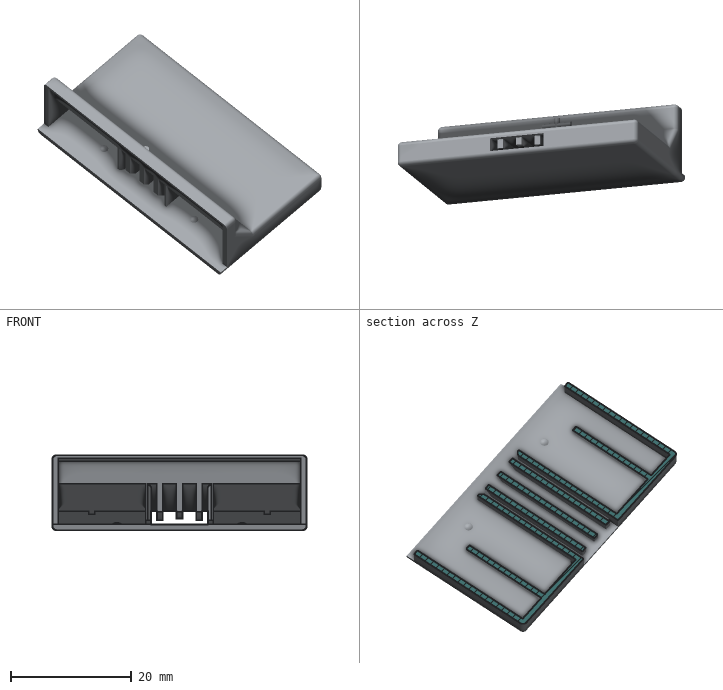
import cadquery as cq
import math

length = 42.3
depth = 24.5
height = 12.5
edge_radius = 0.7

wall = 1.0
lip_depth = 1.5
roof_top = 4.2
upright_back = 4.0
slope_foot = 7.95
slope_top = roof_top + slope_foot - upright_back

cavity_back = depth - wall
ceiling = roof_top - wall
upright_inside = upright_back - wall
slope_sum = slope_foot + roof_top - wall * math.sqrt(2)
upright_ceiling = height - wall
mouth_chamfer = 0.5

channel_half_width = 4.7
channel_wall = 0.95
channel_wall_chamfer = 0.55
channel_wall_underside = 1.7
channel_wall_foot = 1.0

rib_width = 1.0
rib_pitch = 3.25
rib_nose = 3.1
outer_rib_underside = 1.65
middle_rib_underside = 1.95
side_rib_x = 14.6
side_rib_underside = 2.7

bump_x = 10.4
bump_y = 4.75
bump_radius = 0.7
bump_height = 0.25

mark_radius = 0.55
mark_length = 5.0
mark_z = 10.5
mark_top = 11.8
mark_bottom = slope_top - mark_radius


def extrude_along_x(points, x_start, width):
    """Prism whose Y-Z outline is given, running from x_start towards +X."""
    return cq.Workplane("YZ").workplane(offset=x_start).polyline(points).close().extrude(width)


def box_between(x_range, y_range, z_range):
    size = [high - low for low, high in (x_range, y_range, z_range)]
    return cq.Workplane("XY").box(*size, centered=False).translate((x_range[0], y_range[0], z_range[0]))


def outer_body():
    housing = extrude_along_x(
        [
            (0, 0),
            (depth, 0),
            (depth, roof_top),
            (slope_foot, roof_top),
            (upright_back, slope_top),
            (upright_back, height),
            (0, height),
        ],
        -length / 2,
        length,
    )
    upright_crest = housing.faces(">Z").edges(">Y")
    rounded_edges = housing.faces("<X or >X or >Y").edges().edges("not <Y").add(upright_crest)
    return housing.newObject(rounded_edges.vals()).fillet(edge_radius)


def above_lip():
    return box_between((-length / 2, length / 2), (0, lip_depth), (wall, height))


def cavity():
    mouth_top = upright_ceiling + mouth_chamfer
    return extrude_along_x(
        [
            (lip_depth, wall),
            (cavity_back, wall),
            (cavity_back, ceiling),
            (slope_sum - ceiling, ceiling),
            (upright_inside, slope_sum - upright_inside),
            (upright_inside, upright_ceiling),
            (lip_depth + mouth_chamfer, upright_ceiling),
            (lip_depth, mouth_top),
        ],
        wall - length / 2,
        length - 2 * wall,
    )


def rear_opening():
    return box_between(
        (-channel_half_width, channel_half_width), (cavity_back, depth), (wall, ceiling)
    )


def roof_rib(x_center, underside):
    """Rib hanging from the roof, its underside rising to the front at 45 degrees."""
    return extrude_along_x(
        [
            (upright_inside, rib_nose),
            (upright_inside + rib_nose - underside, underside),
            (cavity_back, underside),
            (cavity_back, ceiling),
            (slope_sum - ceiling, ceiling),
            (upright_inside, slope_sum - upright_inside),
        ],
        x_center - rib_width / 2,
        rib_width,
    )


def side_rib(x_center):
    """Low rib that continues the inner slope below the flat ceiling."""
    return extrude_along_x(
        [
            (slope_sum - ceiling, ceiling),
            (slope_sum - side_rib_underside, side_rib_underside),
            (cavity_back, side_rib_underside),
            (cavity_back, ceiling),
        ],
        x_center - rib_width / 2,
        rib_width,
    )


def channel_side():
    """Wall on the +X side of the channel, chamfered at its inner front edge and standing on a rear foot."""
    plan = [
        (channel_half_width, upright_inside + channel_wall_chamfer),
        (channel_half_width + channel_wall_chamfer, upright_inside),
        (channel_half_width + channel_wall, upright_inside),
        (channel_half_width + channel_wall, cavity_back),
        (channel_half_width, cavity_back),
    ]
    full_height = cq.Workplane("XY").workplane(offset=wall).polyline(plan).close().extrude(height)
    profile = extrude_along_x(
        [
            (upright_inside, channel_wall_underside),
            (cavity_back - channel_wall_foot, channel_wall_underside),
            (cavity_back - channel_wall_foot, wall),
            (cavity_back, wall),
            (cavity_back, ceiling),
            (slope_sum - ceiling, ceiling),
            (upright_inside, slope_sum - upright_inside),
        ],
        channel_half_width,
        channel_wall,
    )
    return full_height.intersect(profile)


def snap_bump(x_center):
    """Shallow spherical cap on the floor."""
    sphere_radius = (bump_radius**2 + bump_height**2) / (2 * bump_height)
    sphere_center = wall + bump_height - sphere_radius
    sphere = cq.Workplane("XY").sphere(sphere_radius).translate((x_center, bump_y, sphere_center))
    above_floor = box_between(
        (x_center - bump_radius, x_center + bump_radius),
        (bump_y - bump_radius, bump_y + bump_radius),
        (wall / 2, wall + bump_height),
    )
    return sphere.intersect(above_floor)


def plus_mark():
    """Two crossed half-round bars standing out of the back of the upright."""
    upright_bar = (
        cq.Workplane("XY")
        .workplane(offset=mark_bottom)
        .center(0, upright_back)
        .circle(mark_radius)
        .extrude(mark_top - mark_bottom)
    )
    cross_bar = (
        cq.Workplane("YZ")
        .workplane(offset=-mark_length / 2)
        .center(upright_back, mark_z)
        .circle(mark_radius)
        .extrude(mark_length)
    )
    return upright_bar.union(cross_bar)


result = outer_body().cut(above_lip()).cut(cavity()).cut(rear_opening())
right_side = channel_side()
result = result.union(right_side).union(right_side.mirror("YZ"))
for x_center, underside in (
    (-rib_pitch, outer_rib_underside),
    (0, middle_rib_underside),
    (rib_pitch, outer_rib_underside),
):
    result = result.union(roof_rib(x_center, underside))
for side in (-1, 1):
    result = result.union(side_rib(side * side_rib_x)).union(snap_bump(side * bump_x))
result = result.union(plus_mark())